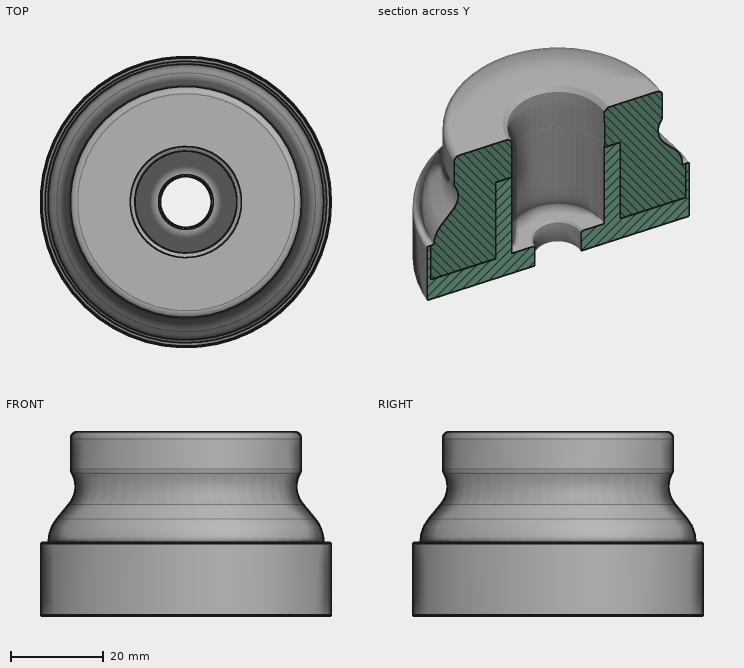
import cadquery as cq
import math

base_radius = 31.5
base_height = 16.0
total_height = 40.0
base_chamfer = 0.3

recess_radius = 30.5
floor_height = 6.0
stem_radius = 15.0
stem_top = 28.55

bore_radius = 11.0
bore_chamfer = 1.0
relief_depth = 4.05
relief_clearance = 0.03
hole_radius = 5.5
hole_chamfer = 0.45

foot_radius = 29.85
foot_arc = 8.0
waist_radius = 24.0
waist_arc = 6.0
cap_radius = 25.0
cap_bottom = 32.0
cap_fillet = 1.5
roll_arc = 2.0

relief_radius = bore_radius + relief_clearance
relief_top = total_height - relief_depth


def cylinder(radius, bottom, top):
    """Upright cylinder on the Z axis between two heights."""
    return cq.Workplane("XY").workplane(offset=bottom).circle(radius).extrude(top - bottom)


def on_arc(center, radius, angle):
    """Point on a circle in the (radius, height) plane; angle in radians."""
    return (center[0] + radius * math.cos(angle), center[1] + radius * math.sin(angle))


def make_base():
    """Chamfered cup with a hollow stem and a through hole in its floor."""
    base = cylinder(base_radius, 0, base_height).faces("<Z or >Z").edges().chamfer(base_chamfer)
    base = base.cut(cylinder(recess_radius, floor_height, base_height))
    stem = cylinder(stem_radius, floor_height, stem_top).cut(cylinder(bore_radius, floor_height, stem_top))
    hole = cylinder(hole_radius, 0, floor_height)
    countersink = cq.Workplane(
        cq.Solid.makeCone(
            hole_radius,
            hole_radius + hole_chamfer,
            hole_chamfer,
            pnt=cq.Vector(0, 0, floor_height - hole_chamfer),
        )
    )
    return base.union(stem).cut(hole).cut(countersink)


def make_knob_blank():
    """Solid of revolution: foot, sloping shoulder, waist and rounded cap."""
    foot_center = (foot_radius - foot_arc, base_height)
    roll_center = (cap_radius - roll_arc, cap_bottom)

    waist_x = waist_radius + waist_arc
    center_gap = waist_x - roll_center[0]
    waist_z = cap_bottom - math.sqrt((waist_arc + roll_arc) ** 2 - center_gap ** 2)
    waist_center = (waist_x, waist_z)
    roll_angle = math.atan2(waist_z - cap_bottom, center_gap)

    run = waist_center[0] - foot_center[0]
    rise = waist_center[1] - foot_center[1]
    center_distance = math.hypot(run, rise)
    shoulder_angle = math.atan2(rise, run) - math.acos((foot_arc + waist_arc) / center_distance)

    return (
        cq.Workplane("XZ")
        .moveTo(0, floor_height)
        .lineTo(recess_radius, floor_height)
        .lineTo(recess_radius, base_height)
        .lineTo(foot_radius, base_height)
        .threePointArc(
            on_arc(foot_center, foot_arc, shoulder_angle / 2),
            on_arc(foot_center, foot_arc, shoulder_angle),
        )
        .lineTo(*on_arc(waist_center, waist_arc, math.pi + shoulder_angle))
        .threePointArc(
            on_arc(waist_center, waist_arc, math.pi),
            on_arc(waist_center, waist_arc, math.pi + roll_angle),
        )
        .threePointArc(on_arc(roll_center, roll_arc, roll_angle / 2), (cap_radius, cap_bottom))
        .lineTo(cap_radius, total_height)
        .lineTo(0, total_height)
        .close()
        .revolve(360, (0, 0, 0), (0, 1, 0))
        .faces(">Z").edges().fillet(cap_fillet)
    )


def make_knob():
    """Knob blank with its chamfered bore and the pocket for the stem."""
    knob = make_knob_blank().cut(cylinder(bore_radius, floor_height, total_height))
    knob = knob.faces(">Z").edges(cq.selectors.RadiusNthSelector(0)).chamfer(bore_chamfer)
    knob = knob.cut(cylinder(relief_radius, stem_top, relief_top))
    return knob.cut(cylinder(stem_radius, floor_height, stem_top))


base = make_base()
knob = make_knob()
result = cq.Compound.makeCompound([base.val(), knob.val()])